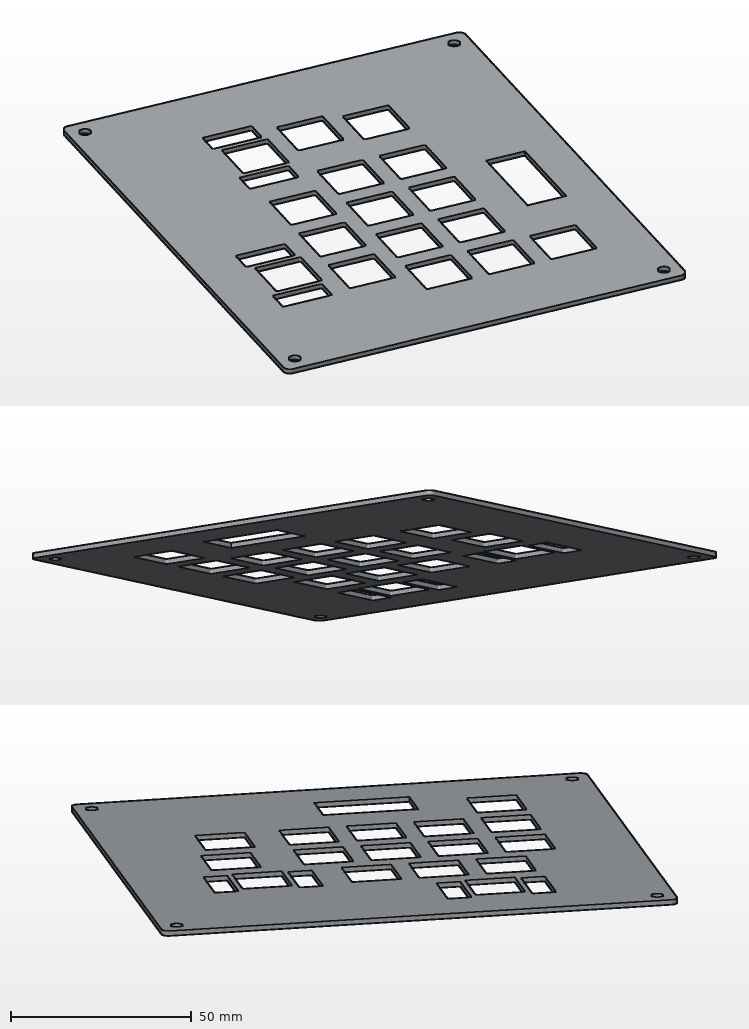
import cadquery as cq

plate_length = 146.0
plate_width = 123.0
plate_thickness = 1.5
plate_corner_radius = 2.0

mount_hole_diameter = 3.4
mount_hole_inset = 5.0

key_row_span = 76.2
key_pitch = key_row_span / 4
switch_side = 14.0
cutout_corner_radius = 0.5
last_column_x = 42.6
grid_origin_x = last_column_x - 3 * key_pitch
grid_origin_y = -0.5

switch_rows = [
    (2, [3]),
    (1, [-1.25, 0, 1, 2, 3]),
    (0, [-1.375, 0, 1, 2, 3]),
    (-1, [-1.125, 0.5, 1.5, 2.5]),
    (-2, [2.125]),
]

stabilised_keys = [(-1.125, -1), (2.125, -2)]
stabiliser_slot_width = 6.7
stabiliser_slot_height = 15.0
stabiliser_slot_offset = 12.0
stabiliser_slot_drop = 1.5

window_length = 26.9
window_height = 11.8
window_x = 6.9
window_y = 43.2


def key_centre(column, row):
    """Centre of a key given its column and row in key units."""
    return grid_origin_x + column * key_pitch, grid_origin_y + row * key_pitch


def rounded_prisms(length, width, centres, corner_radius):
    """Rounded rectangular prisms through the plate thickness at every centre."""
    prisms = cq.Workplane("XY").pushPoints(centres).rect(length, width).extrude(plate_thickness)
    return prisms.edges("|Z").fillet(corner_radius)


plate = rounded_prisms(plate_length, plate_width, [(0, 0)], plate_corner_radius)

mount_holes = (
    cq.Workplane("XY")
    .rect(plate_length - 2 * mount_hole_inset, plate_width - 2 * mount_hole_inset, forConstruction=True)
    .vertices()
    .circle(mount_hole_diameter / 2)
    .extrude(plate_thickness)
)

switch_centres = [key_centre(column, row) for row, columns in switch_rows for column in columns]
switch_cutouts = rounded_prisms(switch_side, switch_side, switch_centres, cutout_corner_radius)

slot_centres = []
for column, row in stabilised_keys:
    key_x, key_y = key_centre(column, row)
    for side in (-1, 1):
        slot_centres.append((key_x + side * stabiliser_slot_offset, key_y - stabiliser_slot_drop))
stabiliser_slots = rounded_prisms(
    stabiliser_slot_width, stabiliser_slot_height, slot_centres, cutout_corner_radius
)

window = (
    cq.Workplane("XY")
    .center(window_x, window_y)
    .rect(window_length, window_height)
    .extrude(plate_thickness)
)

result = plate.cut(mount_holes).cut(switch_cutouts).cut(stabiliser_slots).cut(window)